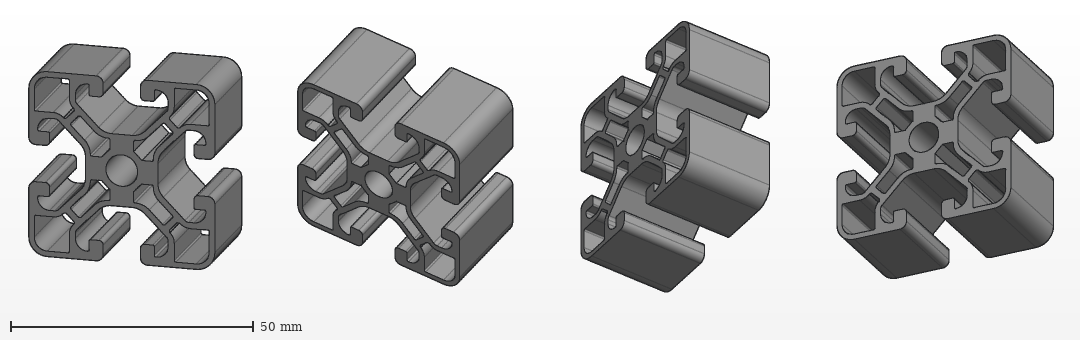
import cadquery as cq
import math

side = 40.0
length = 20.0
half = side / 2
corner_radius = 4.0

slot_half_opening = 4.0
lip_depth = 4.5
lip_outer_radius = 1.5
lip_inner_radius = 0.9
lip_edge_radius = 0.3
hook_inner = 7.0
hook_outer = 9.95
hook_top = 18.1
hook_radius = 2.55
hook_corner_radius = 0.35
hook_bend_radius = 1.2

core_half = 7.8
core_radius = 3.9
arm_half_width = 2.8
bore_diameter = 6.8

skin = 1.2
corner_hollow_inner = 11.3
corner_hollow_outer_radius = 2.8
corner_hollow_corner_radius = 0.3
corner_hollow_end_radius = 0.5
corner_hollow_bend_radius = 3.2
corner_hollow_half_neck = 1.5
corner_hollow_end = 15.7

web_thickness = 1.45
arm_wall = 1.3
core_wall = 1.05
arm_hollow_base = 2.55
arm_hollow_start = 4.9
arm_hollow_base_radius = 0.3
arm_hollow_end_radius = 0.4
arm_hollow_bend_radius = 4.2

diagonal = math.sqrt(2)
arm_offset = arm_half_width * diagonal
arm_hollow_offset = (arm_half_width - arm_wall) * diagonal
corner_hollow_offset = corner_hollow_half_neck * diagonal


def unit_vector(start, end):
    size = math.dist(start, end)
    return (end[0] - start[0]) / size, (end[1] - start[1]) / size


def rounded_outline(corners):
    """Closed outline through (x, z, radius) corners; each corner is rounded unless its radius is 0."""
    runs = []
    for i, (x, z, radius) in enumerate(corners):
        corner = (x, z)
        if radius == 0:
            runs.append([corner])
            continue
        back = unit_vector(corner, corners[i - 1][:2])
        ahead = unit_vector(corner, corners[(i + 1) % len(corners)][:2])
        half_angle = math.acos(back[0] * ahead[0] + back[1] * ahead[1]) / 2
        setback = radius / math.tan(half_angle)
        middle = unit_vector((0, 0), (back[0] + ahead[0], back[1] + ahead[1]))
        rise = radius / math.sin(half_angle) - radius
        steps = ((back, setback), (middle, rise), (ahead, setback))
        runs.append([(x + way[0] * distance, z + way[1] * distance) for way, distance in steps])

    outline = cq.Workplane("XZ").moveTo(*runs[0][-1])
    for run in runs[1:] + runs[:1]:
        outline = outline.lineTo(*run[0])
        if len(run) > 1:
            outline = outline.threePointArc(run[1], run[2])
    return outline.close()


def extruded(outline):
    """Full-length solid centred on the XZ plane."""
    return outline.extrude(length / 2, both=True)


def mirrored(corners):
    """Chain of corners mirrored across the 45 degree line, reversed so that it continues the chain."""
    return [(z, x, radius) for x, z, radius in reversed(corners)]


def quarter_turn(corners, turns):
    """Turn corners about the part axis by a number of clockwise quarter turns."""
    for _ in range(turns):
        corners = [(z, -x, radius) for x, z, radius in corners]
    return corners


def outer_body():
    lip_bottom = half - lip_depth
    half_slot = [
        (core_half - arm_offset, core_half, core_radius),
        (hook_outer, hook_outer + arm_offset, hook_bend_radius),
        (hook_outer, hook_top, hook_radius),
        (hook_inner, hook_top, hook_corner_radius),
        (hook_inner, lip_bottom, lip_edge_radius),
        (slot_half_opening, lip_bottom, lip_inner_radius),
        (slot_half_opening, half, lip_outer_radius),
    ]
    quarter = half_slot + [(half, half, corner_radius)] + mirrored(half_slot)
    corners = []
    for turns in range(4):
        corners += quarter_turn(quarter, turns)
    return extruded(rounded_outline(corners))


def corner_hollow(turns):
    inner = corner_hollow_inner
    outer = half - skin
    end_middle = corner_hollow_end / diagonal
    half_neck = corner_hollow_offset / 2
    half_chain = [
        (end_middle - half_neck, end_middle + half_neck, corner_hollow_end_radius),
        (inner, inner + corner_hollow_offset, corner_hollow_bend_radius),
        (inner, outer, corner_hollow_corner_radius),
    ]
    chain = half_chain + [(outer, outer, corner_hollow_outer_radius)] + mirrored(half_chain)
    return extruded(rounded_outline(quarter_turn(chain, turns)))


def arm_hollow(turns):
    top = core_half - core_wall
    end_middle = (corner_hollow_end - web_thickness) / diagonal
    half_chain = [
        (arm_hollow_base, arm_hollow_start * diagonal - arm_hollow_base, 0),
        (arm_hollow_base, top, arm_hollow_base_radius),
        (top - arm_hollow_offset, top, arm_hollow_bend_radius),
        (end_middle - arm_hollow_offset / 2, end_middle + arm_hollow_offset / 2, arm_hollow_end_radius),
    ]
    chain = half_chain + mirrored(half_chain)
    return extruded(rounded_outline(quarter_turn(chain, turns)))


result = outer_body()
for turns in range(4):
    result = result.cut(corner_hollow(turns)).cut(arm_hollow(turns))
result = result.cut(extruded(cq.Workplane("XZ").circle(bore_diameter / 2)))